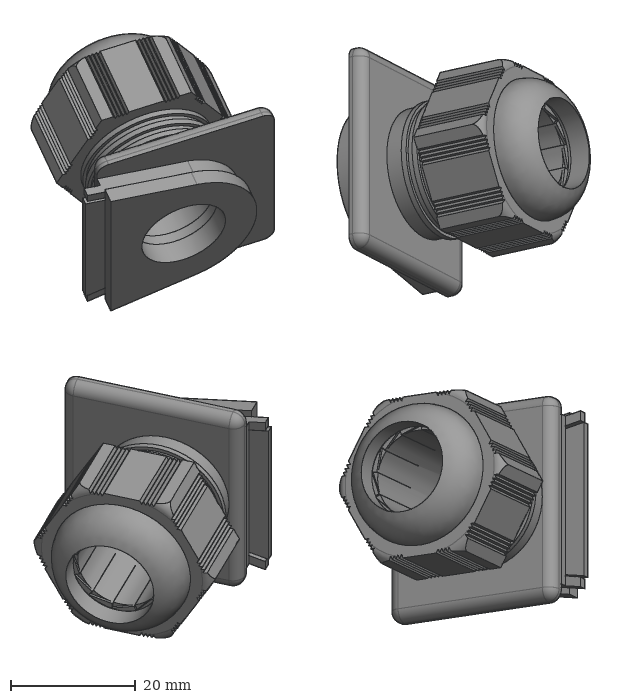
import cadquery as cq
import math


nut_front = 5.82
nut_back = 18.65
flange_front = 26.9
flange_back = 29.62
fork_front = 31.0
tongue_front = 31.4
fork_back = 32.47
clip_front = 32.7
clip_back = 35.25

nut_sides = 6
nut_across_flats = 26.8
nut_corner_round = 1.75
dome_base_dia = 23.35
entry_dia = 15.0
entry_depth = 3.53
tooth_width = 0.67
teeth_per_group = 4
tooth_group_centre = 4.37

claw_dia = 18.05
lip_dia = 16.3
lip_back = 4.4
bore_front = 4.85
finger_count = 12
finger_turn = 9.0
slit_width = 0.05
slit_length = 10.58

spigot_front = 7.05
spigot_dia = 21.0
tube_dia = 21.5
ring_dia = 22.67
ring_width = 0.95
ring_pitch = 2.08
ring_count = 3
bore_dia = 14.4
flange_top = 17.77
flange_bottom = -12.73
flange_height = 34.15
flange_round = 1.97

wedge_angle = 10.5
fork_radius = 11.6
fork_side_start = 2.85
slot_radius = 9.98
slot_side_start = 1.85
fork_end = -15.48
neck_depth = 18.05
neck_width = 22.15
neck_round = 2.05
clip_radius = 12.6
clip_side_start = 2.3
clip_end = -12.55
tongue_radius = 9.65
tongue_end = -15.9


def cylinder(diameter, x_from, x_to):
    return cq.Workplane("YZ", origin=(x_from, 0, 0)).circle(diameter / 2).extrude(x_to - x_from)


def wedge(radius, side_start, y_end, x_from, x_to):
    """Plate with a round +Y end and straight sides that spread from y = side_start to y_end."""
    z_start = math.sqrt(radius**2 - side_start**2)
    z_end = z_start + (side_start - y_end) * math.tan(math.radians(wedge_angle))
    return (
        cq.Workplane("YZ", origin=(x_from, 0, 0))
        .moveTo(y_end, -z_end)
        .lineTo(side_start, -z_start)
        .threePointArc((radius, 0), (side_start, z_start))
        .lineTo(y_end, z_end)
        .close()
        .extrude(x_to - x_from)
    )


def make_dome():
    base_radius = dome_base_dia / 2
    entry_radius = entry_dia / 2
    drop = base_radius - entry_radius
    round_radius = (nut_front**2 + drop**2) / (2 * drop)
    half_turn = math.asin(nut_front / round_radius) / 2
    arc_middle = (
        nut_front - round_radius * math.sin(half_turn),
        base_radius - round_radius * (1 - math.cos(half_turn)),
    )
    return (
        cq.Workplane("XY")
        .moveTo(0, 0)
        .lineTo(0, entry_radius)
        .threePointArc(arc_middle, (nut_front, base_radius))
        .lineTo(nut_front, 0)
        .close()
        .revolve(360, (0, 0, 0), (1, 0, 0))
    )


def make_grip():
    """Hexagon with rounded front corners and groups of V grooves beside each corner."""
    length = nut_back - nut_front
    corner_radius = nut_across_flats / 2 / math.cos(math.pi / nut_sides)
    blank = cylinder(2 * corner_radius, nut_front, nut_back).faces("<X").edges().fillet(nut_corner_round)
    hexagon = cq.Workplane("YZ", origin=(nut_front, 0, 0)).polygon(nut_sides, 2 * corner_radius).extrude(length)
    grip = blank.intersect(hexagon)

    tooth_depth = tooth_width * math.sqrt(3) / 2
    flat = nut_across_flats / 2
    group_start = tooth_group_centre - teeth_per_group * tooth_width / 2
    outline = [(group_start, flat + tooth_depth)]
    for tooth in range(teeth_per_group):
        left = group_start + tooth * tooth_width
        outline += [(left, flat), (left + tooth_width / 2, flat - tooth_depth)]
    group_end = group_start + teeth_per_group * tooth_width
    outline += [(group_end, flat), (group_end, flat + tooth_depth)]
    grooves = cq.Workplane("YZ", origin=(nut_front, 0, 0)).polyline(outline).close().extrude(length)
    grooves = grooves.union(grooves.mirror("XZ"))
    for side in range(nut_sides):
        grip = grip.cut(grooves.rotate((0, 0, 0), (1, 0, 0), 360 / nut_sides * side))
    return grip


def make_nut():
    nut = make_dome().union(make_grip())
    nut = nut.cut(cylinder(entry_dia, 0, entry_depth))
    nut = nut.cut(cylinder(claw_dia, entry_depth, spigot_front))
    return nut.cut(cylinder(spigot_dia, spigot_front, nut_back))


def around_bore(angle, radius):
    """Point (y, z) at an angle in degrees from +Y about the X axis."""
    return radius * math.cos(math.radians(angle)), radius * math.sin(math.radians(angle))


def finger_gaps():
    """Cutter for the finger tips: a sawtooth recess and one thin slit at each tooth."""
    finger_angle = 360 / finger_count
    outline = []
    for finger in range(finger_count):
        start = finger_turn + finger * finger_angle
        outline += [around_bore(start, bore_dia / 2), around_bore(start + finger_angle, lip_dia / 2)]
    recess = (
        cq.Workplane("YZ", origin=(lip_back, 0, 0)).polyline(outline).close().extrude(bore_front - lip_back)
    )
    slits = (
        cq.Workplane("YZ", origin=(bore_front, 0, 0))
        .polarArray(claw_dia / 4, 0, 360, finger_count)
        .rect(claw_dia / 2, slit_width)
        .extrude(slit_length)
        .rotate((0, 0, 0), (1, 0, 0), finger_turn)
    )
    return recess.union(slits)


def make_housing():
    tube = cylinder(spigot_dia, spigot_front, nut_back).union(cylinder(tube_dia, nut_back, flange_front))
    for ring in range(ring_count):
        ring_front = nut_back + ring * ring_pitch
        tube = tube.union(cylinder(ring_dia, ring_front, ring_front + ring_width))

    flange = (
        cq.Workplane("XY")
        .box(flange_back - flange_front, flange_top - flange_bottom, flange_height)
        .translate(((flange_front + flange_back) / 2, (flange_top + flange_bottom) / 2, 0))
        .edges("|X").fillet(flange_round)
        .faces("<X").edges().fillet(flange_round)
    )

    housing = tube.union(flange).union(cylinder(claw_dia, entry_depth, spigot_front))
    housing = housing.cut(cylinder(lip_dia, entry_depth, lip_back))
    housing = housing.cut(cylinder(bore_dia, lip_back, flange_back))
    return housing.cut(finger_gaps())


def make_fork():
    base = wedge(fork_radius, fork_side_start, flange_bottom, flange_back, fork_front)
    legs = wedge(fork_radius, fork_side_start, fork_end, fork_front, fork_back)
    slot = wedge(slot_radius, slot_side_start, fork_end, fork_front, fork_back)
    neck = (
        cq.Workplane("YZ", origin=(fork_front, 0, 0))
        .rect(neck_depth, neck_width)
        .extrude(tongue_front - fork_front)
        .edges("|X").fillet(neck_round)
    )
    fork = base.union(legs.cut(slot)).union(neck.intersect(slot))
    return fork.cut(cylinder(bore_dia, flange_back, fork_back))


def make_clip():
    plate = wedge(clip_radius, clip_side_start, clip_end, clip_front, clip_back)
    tongue = wedge(tongue_radius, slot_side_start, tongue_end, tongue_front, clip_front)
    return plate.union(tongue).cut(cylinder(bore_dia, tongue_front, clip_back))


nut = make_nut()
housing = make_housing()
fork = make_fork()
clip = make_clip()

result = cq.Compound.makeCompound([nut.val(), housing.val(), fork.val(), clip.val()])